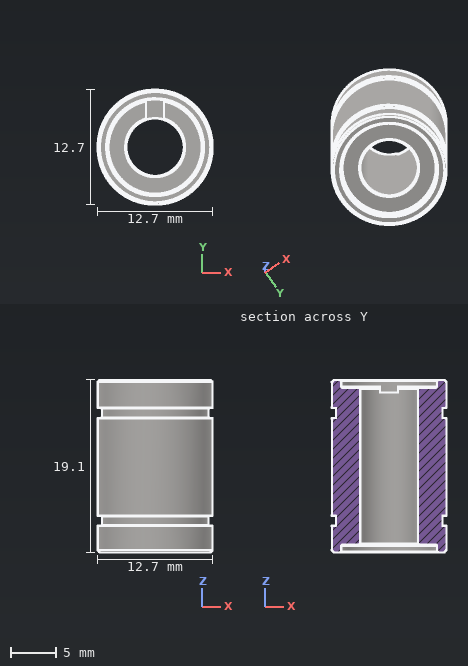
import cadquery as cq

INCH = 25.4

length = 0.75 * INCH
outer_radius = 0.25 * INCH
bore_radius = 0.125 * INCH
end_chamfer = 0.26

recess_radius = 5.27
recess_depth = 0.87
recess_chamfer = 0.13
bore_chamfer = 0.13
corner_chamfer = 0.13

groove_radius = 5.89
groove_width = 1.08
top_groove_offset = 3.13
bottom_groove_offset = 2.96
groove_chamfer = 0.06

slot_width = 1.98
slot_depth = 0.53

cut_clearance = 1.0

half_length = length / 2
floor_height = half_length - recess_depth
groove_bottoms = (
    half_length - top_groove_offset - groove_width,
    -half_length + bottom_groove_offset,
)


def make_sleeve():
    """Plain cylinder with both end edges chamfered."""
    cylinder = cq.Workplane("XY").circle(outer_radius).extrude(half_length, both=True)
    return cylinder.faces("|Z").chamfer(end_chamfer)


def revolve_about_z(points):
    """Revolve a closed outline of (radius, height) points about the Z axis."""
    return cq.Workplane("XZ").polyline(points).close().revolve(360, (0, 0, 0), (0, 1, 0))


def make_end_cut():
    """Recess, bore-edge chamfer and half the bore for the top end."""
    return revolve_about_z([
        (0, 0),
        (bore_radius, 0),
        (bore_radius, floor_height - bore_chamfer),
        (bore_radius + bore_chamfer, floor_height),
        (recess_radius - corner_chamfer, floor_height),
        (recess_radius, floor_height + corner_chamfer),
        (recess_radius, half_length - recess_chamfer),
        (recess_radius + recess_chamfer, half_length),
        (0, half_length),
    ])


def make_groove_cut(bottom):
    """Groove starting at height bottom, with small chamfers on its lips and floor corners."""
    top = bottom + groove_width
    clear_radius = outer_radius + cut_clearance
    c = groove_chamfer
    return revolve_about_z([
        (clear_radius, top + c),
        (outer_radius, top + c),
        (outer_radius - c, top),
        (groove_radius + c, top),
        (groove_radius, top - c),
        (groove_radius, bottom + c),
        (groove_radius + c, bottom),
        (outer_radius - c, bottom),
        (outer_radius, bottom - c),
        (clear_radius, bottom - c),
    ])


def make_slot_cut():
    """Slot from the bore out to the recess wall, through the corner bevel above it."""
    cut_height = slot_depth + corner_chamfer
    slot_box = cq.Workplane("XY").box(
        slot_width, recess_radius, cut_height, centered=(True, False, False)
    )
    recess_cylinder = cq.Workplane("XY").circle(recess_radius).extrude(cut_height)
    return slot_box.intersect(recess_cylinder).translate((0, 0, floor_height - slot_depth))


result = make_sleeve()

end_cut = make_end_cut()
result = result.cut(end_cut).cut(end_cut.mirror("XY"))

for groove_bottom in groove_bottoms:
    result = result.cut(make_groove_cut(groove_bottom))

result = result.cut(make_slot_cut())